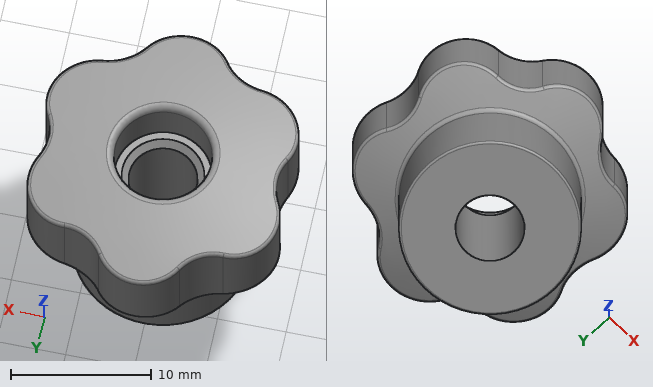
import cadquery as cq
import math

lobe_count = 6
lobe_angle = 360 / lobe_count
tip_radius = 10.0
lobe_radius = 3.5
valley_radius = 3.5
dome_apex = 15.0
dome_radius = 41.0
underside_apex = 5.98
underside_radius = 23.0
edge_fillet = 0.3

hub_radius = 13.0 / 2
hub_bottom_fillet = 0.15
neck_fillet = 0.4

bore_radius = 4.92 / 2
countersink_depth = 0.5
counterbore_radius = 7.0 / 2
counterbore_floor = 11.0
lip_fillet = 0.5

lobe_center = tip_radius - lobe_radius
half_pitch = math.radians(lobe_angle / 2)
center_gap = lobe_radius + valley_radius
half_chord = lobe_center * math.sin(half_pitch)
valley_center = lobe_center * math.cos(half_pitch) + math.sqrt(center_gap**2 - half_chord**2)
valley_bottom = valley_center - valley_radius


def polar(radius, degrees):
    angle = math.radians(degrees)
    return (radius * math.cos(angle), radius * math.sin(angle))


def junction(lobe_direction, valley_direction):
    """Point where a lobe arc meets a neighbouring valley arc."""
    lobe = polar(lobe_center, lobe_direction)
    valley = polar(valley_center, valley_direction)
    share = lobe_radius / center_gap
    return tuple(a + share * (b - a) for a, b in zip(lobe, valley))


def star_outline(base_height):
    first_lobe = 90
    half_angle = lobe_angle / 2
    outline = cq.Workplane("XY", origin=(0, 0, base_height))
    outline = outline.moveTo(*junction(first_lobe, first_lobe - half_angle))
    for index in range(lobe_count):
        lobe = first_lobe + index * lobe_angle
        valley = lobe + half_angle
        next_lobe = lobe + lobe_angle
        outline = outline.threePointArc(polar(tip_radius, lobe), junction(lobe, valley))
        outline = outline.threePointArc(polar(valley_bottom, valley), junction(next_lobe, valley))
    return outline.close()


def ball(radius, center_height):
    return cq.Workplane("XY").sphere(radius).translate((0, 0, center_height))


def make_head():
    """Star prism bounded by a shallow dome above and a bowl below."""
    head = star_outline(underside_apex).extrude(dome_apex - underside_apex)
    head = head.intersect(ball(dome_radius, dome_apex - dome_radius))
    head = head.intersect(ball(underside_radius, underside_apex + underside_radius))
    return head.edges("not |Z").fillet(edge_fillet)


def make_hub():
    hub = cq.Workplane("XY").circle(hub_radius).extrude(counterbore_floor)
    return hub.faces("<Z").edges().fillet(hub_bottom_fillet)


def make_bore():
    """Through hole, countersink and counterbore as one revolved cutter."""
    countersink_radius = bore_radius + countersink_depth
    profile = (
        cq.Workplane("XZ")
        .polyline([
            (0, 0),
            (bore_radius, 0),
            (bore_radius, counterbore_floor - countersink_depth),
            (countersink_radius, counterbore_floor),
            (counterbore_radius, counterbore_floor),
            (counterbore_radius, dome_apex),
            (0, dome_apex),
        ])
        .close()
    )
    return profile.revolve(360, (0, 0), (0, 1))


def ring_selector(radius, low, high):
    """Box around the axis that holds the centre of a circular edge."""
    return cq.selectors.BoxSelector((-radius, -radius, low), (radius, radius, high), boundingbox=True)


knob = make_head().union(make_hub())

neck_height = underside_apex + underside_radius - math.sqrt(underside_radius**2 - hub_radius**2)
selection_margin = 0.1
neck_edge = ring_selector(
    hub_radius + selection_margin,
    neck_height - selection_margin,
    neck_height + selection_margin,
)
knob = knob.edges(neck_edge).fillet(neck_fillet)

knob = knob.cut(make_bore())
lip_height = dome_apex - dome_radius + math.sqrt(dome_radius**2 - counterbore_radius**2)
lip_edge = ring_selector(
    counterbore_radius + selection_margin,
    lip_height - selection_margin,
    lip_height + selection_margin,
)
result = knob.edges(lip_edge).fillet(lip_fillet)